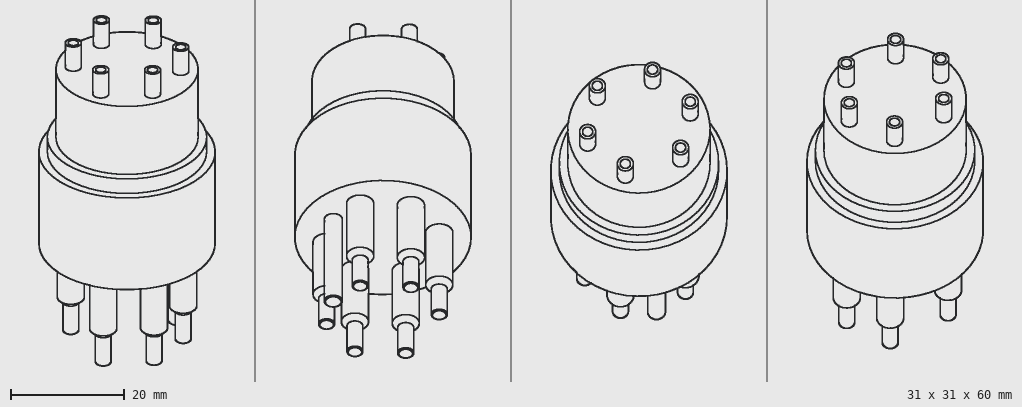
import cadquery as cq

body_diameter = 31.0
ring_diameter = 28.0
neck_diameter = 25.0
body_bottom_z = 19.0
body_top_z = 38.0
ring_top_z = 41.0
neck_top_z = 55.0
total_height = 60.0

cup_diameter = 2.8
cup_bore_diameter = 1.8
cup_bore_depth = total_height - neck_top_z
cup_middle_x = 9.5
cup_outer_x = 5.1

shank_diameter = 4.8
tip_diameter = 2.8
tip_length = 6.0
shoulder_height = (shank_diameter - tip_diameter) / 2
key_pin_diameter = 3.2
pin_middle_x = 10.0
pin_outer_x = 6.0
key_pin_y = pin_middle_x
tip_chamfer = 0.2

row_offset = 8.0


def six_positions(middle_x, outer_x):
    """Two points on the X axis and two on each outer row."""
    positions = [(-middle_x, 0), (middle_x, 0)]
    for x in (-outer_x, outer_x):
        for y in (-row_offset, row_offset):
            positions.append((x, y))
    return positions


def cylinder(diameter, bottom_z, top_z, positions=((0, 0),)):
    """Equal vertical cylinders at the given XY positions."""
    plane = cq.Workplane("XY", origin=(0, 0, bottom_z))
    return plane.pushPoints(positions).circle(diameter / 2).extrude(top_z - bottom_z)


def make_body():
    body = cylinder(body_diameter, body_bottom_z, body_top_z)
    ring = cylinder(ring_diameter, body_top_z, ring_top_z)
    neck = cylinder(neck_diameter, ring_top_z, neck_top_z)
    return body.union(ring).union(neck)


def add_solder_cups(part):
    positions = six_positions(cup_middle_x, cup_outer_x)
    cups = cylinder(cup_diameter, neck_top_z, total_height, positions)
    bores = cylinder(cup_bore_diameter, total_height - cup_bore_depth, total_height, positions)
    return part.union(cups).cut(bores)


def make_contact_pin():
    """Thick shank with a conical shoulder down to a thinner, chamfered tip."""
    shank_radius = shank_diameter / 2
    tip_radius = tip_diameter / 2
    half_profile = [
        (0, 0),
        (tip_radius - tip_chamfer, 0),
        (tip_radius, tip_chamfer),
        (tip_radius, tip_length),
        (shank_radius, tip_length + shoulder_height),
        (shank_radius, body_bottom_z),
        (0, body_bottom_z),
    ]
    return cq.Workplane("XZ").polyline(half_profile).close().revolve(360, (0, 0), (0, 1))


def make_key_pin():
    """Straight pin on the +Y side that sets the plug's orientation."""
    pin = cylinder(key_pin_diameter, 0, body_bottom_z, [(0, key_pin_y)])
    return pin.faces("<Z").chamfer(tip_chamfer)


def add_contact_pins(part):
    pin = make_contact_pin()
    for x, y in six_positions(pin_middle_x, pin_outer_x):
        part = part.union(pin.translate((x, y, 0)))
    return part.union(make_key_pin())


result = add_contact_pins(add_solder_cups(make_body()))